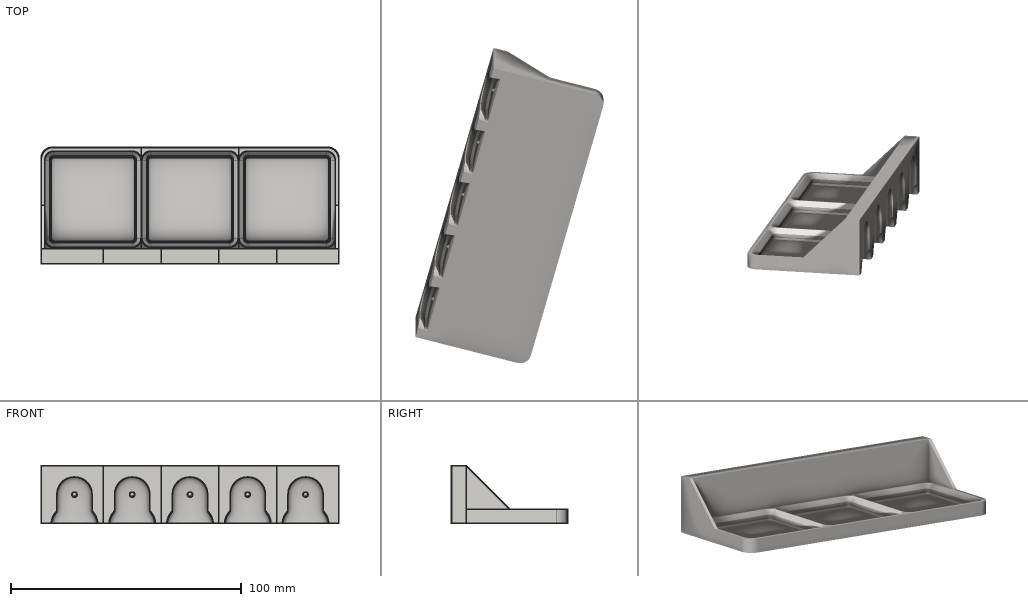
import cadquery as cq

PANEL_COUNT = 5
BAY_WIDTH = 25.0
TOTAL_LENGTH = 129.0
END_MARGIN = (TOTAL_LENGTH - PANEL_COUNT * BAY_WIDTH) / 2
TOTAL_DEPTH = 50.5
TOTAL_HEIGHT = 25.0
PANEL_THICKNESS = 6.5

SLOT_HALF_WIDTH = 7.6
UNDERCUT_HALF_WIDTH = 10.2
SLOT_DEPTH = 4.1
UNDERCUT_STRAIGHT = 1.2
UNDERCUT_TAPER = UNDERCUT_HALF_WIDTH - SLOT_HALF_WIDTH
SLOT_CENTER_Z = TOTAL_HEIGHT / 2
MOUTH_RADIUS = 10.0
MOUTH_FLOOR_RADIUS = 10.5
MOUTH_CENTER_DROP = 1.3
DIMPLE_RADIUS = 1.1

TRAY_COUNT = 3
TRAY_PITCH = 42.0
TRAY_HEIGHT = 6.2
TRAY_LENGTH = TOTAL_DEPTH - PANEL_THICKNESS
TRAY_CORNER_RADIUS = 4.9
POCKET_SIZE = 41.7
POCKET_CORNER_RADIUS = 3.9
POCKET_BACK_RIM = 1.7
POCKET_TOP_CHAMFER = 2.0
POCKET_STRAIGHT = 1.8
POCKET_BOTTOM_CHAMFER = 0.7
CHAMFER_TAPER = -45
POCKET_CENTER_Y = TOTAL_DEPTH - POCKET_BACK_RIM - POCKET_SIZE / 2

GUSSET_THICKNESS = 1.5
GUSSET_SIZE = TOTAL_HEIGHT - TRAY_HEIGHT


def make_slot(center_x):
    """Undercut slot cutter: round top, straight legs, conical mouth, dimple left standing."""
    floor_y = SLOT_DEPTH
    straight_y = floor_y - UNDERCUT_STRAIGHT
    lip_y = straight_y - UNDERCUT_TAPER
    half_profile = [
        (0, 0),
        (SLOT_HALF_WIDTH, 0),
        (SLOT_HALF_WIDTH, lip_y),
        (UNDERCUT_HALF_WIDTH, straight_y),
        (UNDERCUT_HALF_WIDTH, floor_y),
        (0, floor_y),
    ]
    half = cq.Workplane("XY").polyline(half_profile).close()
    round_top = half.revolve(360, (0, 0), (0, 1))
    leg = cq.Workplane("XY").polyline(half_profile).close().extrude(-SLOT_CENTER_Z)
    legs = leg.union(leg.mirror("YZ"))
    mouth = (
        cq.Workplane("XZ")
        .center(0, -SLOT_CENTER_Z - MOUTH_CENTER_DROP)
        .circle(MOUTH_RADIUS)
        .workplane(offset=-SLOT_DEPTH)
        .circle(MOUTH_FLOOR_RADIUS)
        .loft(ruled=True)
    )
    dimple = (
        cq.Workplane("XY")
        .polyline([(0, floor_y), (DIMPLE_RADIUS, floor_y), (0, floor_y - DIMPLE_RADIUS)])
        .close()
        .revolve(360, (0, 0), (0, 1))
    )
    cutter = round_top.union(legs).union(mouth).cut(dimple)
    return cutter.translate((center_x, 0, SLOT_CENTER_Z))


def make_panel(index):
    """Wall panel with its hanging slot; the end panels carry the end margin."""
    left = END_MARGIN + index * BAY_WIDTH
    right = left + BAY_WIDTH
    slot_x = (left + right) / 2
    if index == 0:
        left = 0
    if index == PANEL_COUNT - 1:
        right = TOTAL_LENGTH
    block = cq.Workplane("XY").box(right - left, PANEL_THICKNESS, TOTAL_HEIGHT, centered=False)
    return block.translate((left, 0, 0)).cut(make_slot(slot_x))


def pocket_layer(inset, bottom_z, height, taper):
    """Rounded square layer of the pocket; the taper angle widens it upward if negative."""
    side = POCKET_SIZE - 2 * inset
    outline = cq.Sketch().rect(side, side).vertices().fillet(POCKET_CORNER_RADIUS - inset)
    return cq.Workplane("XY", origin=(0, 0, bottom_z)).placeSketch(outline).extrude(height, taper=taper)


def make_pocket(center_x):
    """Stepped pocket: chamfered rim, straight wall, chamfered floor edge."""
    rim_z = TRAY_HEIGHT - POCKET_TOP_CHAMFER
    straight_z = rim_z - POCKET_STRAIGHT
    floor_z = straight_z - POCKET_BOTTOM_CHAMFER
    floor_inset = POCKET_TOP_CHAMFER + POCKET_BOTTOM_CHAMFER
    pocket = (
        pocket_layer(floor_inset, floor_z, POCKET_BOTTOM_CHAMFER, CHAMFER_TAPER)
        .union(pocket_layer(POCKET_TOP_CHAMFER, straight_z, POCKET_STRAIGHT, 0))
        .union(pocket_layer(POCKET_TOP_CHAMFER, rim_z, POCKET_TOP_CHAMFER, CHAMFER_TAPER))
    )
    return pocket.translate((center_x, POCKET_CENTER_Y, 0))


def make_tray(index):
    """Tray with one pocket; the end trays reach the ends and have a rounded outer corner."""
    pocket_x = TOTAL_LENGTH / 2 + (index - (TRAY_COUNT - 1) / 2) * TRAY_PITCH
    left = pocket_x - TRAY_PITCH / 2
    right = pocket_x + TRAY_PITCH / 2
    rounded_corner = None
    if index == 0:
        left = 0
        rounded_corner = "<X and >Y"
    if index == TRAY_COUNT - 1:
        right = TOTAL_LENGTH
        rounded_corner = ">X and >Y"
    tray = cq.Workplane("XY").box(right - left, TRAY_LENGTH, TRAY_HEIGHT, centered=False)
    tray = tray.translate((left, PANEL_THICKNESS, 0))
    if rounded_corner:
        tray = tray.edges("|Z").edges(rounded_corner).fillet(TRAY_CORNER_RADIUS)
    return tray.cut(make_pocket(pocket_x))


def make_gusset(left):
    """Triangular brace standing on the tray against the panel."""
    return (
        cq.Workplane("YZ", origin=(left, PANEL_THICKNESS, TRAY_HEIGHT))
        .polyline([(0, 0), (GUSSET_SIZE, 0), (0, GUSSET_SIZE)])
        .close()
        .extrude(GUSSET_THICKNESS)
    )


panels = [make_panel(index).val() for index in range(PANEL_COUNT)]
trays = [make_tray(index).val() for index in range(TRAY_COUNT)]
gussets = [make_gusset(left).val() for left in (0, TOTAL_LENGTH - GUSSET_THICKNESS)]

result = cq.Compound.makeCompound([*panels, *trays, *gussets])